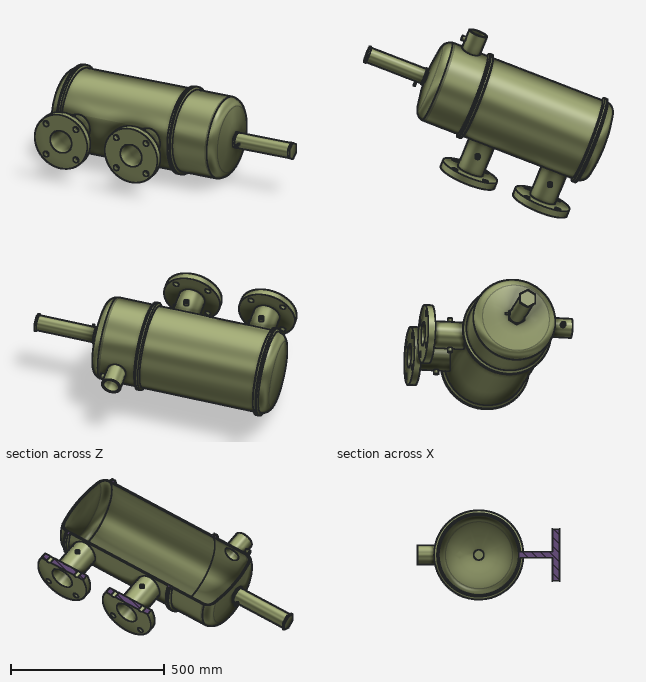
import cadquery as cq
import math


vessel_radius = 273.05 / 2
vessel_length = 623.5
wall = 6.35
crown_radius = 508.0
knuckle_radius = 33.0

flange_radius = 292.1 / 2
rim_half_width = 5.6
base_half_width = 9.525
left_flange_position = 50.0
right_flange_position = 452.6
joint_offset = 1.5
left_joint = left_flange_position - joint_offset
right_joint = right_flange_position + joint_offset

seam_length = 6.6
seam_drop = 0.3

nozzle_positions = (119.6, 373.6)
nozzle_radius = 88.0 / 2
nozzle_bore_radius = 77.93 / 2
nozzle_reach = 263.525
nozzle_flange_radius = 190.5 / 2
nozzle_flange_thickness = 23.8
bolt_circle_radius = 152.4 / 2
bolt_hole_radius = 19.05 / 2
bolt_count = 4

stub_position = 521.0
stub_radius = 63.5 / 2
stub_bore_radius = 52.5 / 2
stub_reach = 200.025

gauge_boss_radius = 15.875 / 2
gauge_bore_radius = 6.35 / 2
gauge_boss_height = 12.7
nozzle_gauge_y = -174.6
stub_gauge_y = 166.6

neck_radius = 33.4 / 2
barrel_radius = 50.8 / 2
hex_flats = 50.8
hex_width = 6.35
fitting_start = 627.0
barrel_start = fitting_start + hex_width
overall_length = 832.46
cap_start = overall_length - hex_width
pin_position = 649.4
pin_radius = 6.35 / 2
pin_reach = 41.3


def dome_points(radius, crown, knuckle):
    """Offsets from the apex as (depth, radius): crown middle, crown edge, knuckle middle, tangent."""
    knuckle_centre_radius = radius - knuckle
    slope = math.asin(knuckle_centre_radius / (crown - knuckle))
    knuckle_centre_depth = crown - (crown - knuckle) * math.cos(slope)
    half_turn = (slope + math.pi / 2) / 2

    def on_crown(angle):
        return (crown * (1 - math.cos(angle)), crown * math.sin(angle))

    def on_knuckle(angle):
        return (
            knuckle_centre_depth - knuckle * math.cos(angle),
            knuckle_centre_radius + knuckle * math.sin(angle),
        )

    return on_crown(slope / 2), on_crown(slope), on_knuckle(half_turn), on_knuckle(math.pi / 2)


def vessel_solid(inset):
    """Solid of revolution with a domed head at both ends, set in by `inset` from the outer skin."""
    dome = dome_points(vessel_radius - inset, crown_radius - inset, knuckle_radius - inset)
    left = [(inset + depth, radius) for depth, radius in dome]
    right = [(vessel_length - x, radius) for x, radius in left]
    profile = (
        cq.Workplane("XY")
        .moveTo(inset, 0)
        .threePointArc(left[0], left[1])
        .threePointArc(left[2], left[3])
        .lineTo(*right[3])
        .threePointArc(right[2], right[1])
        .threePointArc(right[0], (vessel_length - inset, 0))
        .close()
    )
    return profile.revolve(360, (0, 0, 0), (1, 0, 0))


def cylinder_x(radius, start, end):
    return cq.Workplane("YZ", origin=(start, 0, 0)).circle(radius).extrude(end - start)


def cylinder_y(radius, x, start, end):
    return cq.Workplane("XZ", origin=(x, start, 0)).circle(radius).extrude(start - end)


def flange_pair(position):
    """Ring with tapered sides, centred on `position`; a joint plane later splits it in two."""
    return (
        cq.Workplane("XY")
        .moveTo(position - base_half_width, 0)
        .lineTo(position - base_half_width, vessel_radius)
        .lineTo(position - rim_half_width, flange_radius)
        .lineTo(position + rim_half_width, flange_radius)
        .lineTo(position + base_half_width, vessel_radius)
        .lineTo(position + base_half_width, 0)
        .close()
        .revolve(360, (0, 0, 0), (1, 0, 0))
    )


cavity = vessel_solid(wall)
vessel = vessel_solid(0).union(flange_pair(left_flange_position)).union(flange_pair(right_flange_position))


def vessel_section(start, end):
    """Solid length of the flanged vessel between two planes across its axis."""
    return vessel.intersect(cylinder_x(2 * flange_radius, start, end))


head = vessel_section(0, left_joint).cut(cavity)


def nozzle(x):
    """Pipe from the vessel axis to a bolted flange, with gauge bosses above and below."""
    bolt_holes = (
        cq.Workplane("XZ", origin=(x, 0, 0))
        .polarArray(bolt_circle_radius, 180 / bolt_count, 360, bolt_count)
        .circle(bolt_hole_radius)
        .extrude(nozzle_reach)
    )
    flange_back = -nozzle_reach + nozzle_flange_thickness
    flange = cylinder_y(nozzle_flange_radius, x, flange_back, -nozzle_reach).cut(bolt_holes)
    gauge_bosses = (
        cq.Workplane("XY", origin=(x, nozzle_gauge_y, 0))
        .circle(gauge_boss_radius)
        .extrude(nozzle_radius + gauge_boss_height, both=True)
    )
    return cylinder_y(nozzle_radius, x, 0, -nozzle_reach).union(flange).union(gauge_bosses)


def nozzle_bores(x):
    """Main bore from the vessel axis outward and the gauge bore across it."""
    gauge_bore = (
        cq.Workplane("XY", origin=(x, nozzle_gauge_y, 0))
        .circle(gauge_bore_radius)
        .extrude(nozzle_radius + gauge_boss_height, both=True)
    )
    return cylinder_y(nozzle_bore_radius, x, 0, -nozzle_reach).union(gauge_bore)


shell = vessel_section(left_joint, right_joint)
for nozzle_x in nozzle_positions:
    shell = shell.union(nozzle(nozzle_x))
shell = shell.cut(cavity)
for nozzle_x in nozzle_positions:
    shell = shell.cut(nozzle_bores(nozzle_x))


def stub_gauge_cylinder(radius):
    """Cylinder along X from the stub axis to the face of the stub's gauge boss."""
    return (
        cq.Workplane("YZ", origin=(stub_position, stub_gauge_y, 0))
        .circle(radius)
        .extrude(stub_radius + gauge_boss_height)
    )


def weld_seam():
    """Short cone that starts at the knuckle tangent and ends in a small step above the knuckle."""
    seam_start = vessel_length - dome_points(vessel_radius, crown_radius, knuckle_radius)[3][0]
    seam_end = seam_start + seam_length
    return (
        cq.Workplane("XY")
        .moveTo(seam_start, vessel_radius - wall / 2)
        .lineTo(seam_start, vessel_radius)
        .lineTo(seam_end, vessel_radius - seam_drop)
        .lineTo(seam_end, vessel_radius - wall / 2)
        .close()
        .revolve(360, (0, 0, 0), (1, 0, 0))
    )


neck = cylinder_x(neck_radius, vessel_length - 2 * wall, fitting_start)

channel = (
    vessel_section(right_joint, vessel_length)
    .union(cylinder_y(stub_radius, stub_position, 0, stub_reach))
    .union(stub_gauge_cylinder(gauge_boss_radius))
    .union(weld_seam())
    .cut(cavity)
    .cut(cylinder_y(stub_bore_radius, stub_position, 0, stub_reach))
    .cut(stub_gauge_cylinder(gauge_bore_radius))
    .cut(neck)
)


def hexagon(start):
    """Hexagonal plate across the X axis, with two corners at the top and bottom."""
    corner_diameter = hex_flats / math.cos(math.pi / 6)
    return (
        cq.Workplane("YZ", origin=(start, 0, 0))
        .transformed(rotate=(0, 0, 90))
        .polygon(6, corner_diameter)
        .extrude(hex_width)
    )


fitting = hexagon(fitting_start).union(neck)
barrel = cylinder_x(barrel_radius, barrel_start, cap_start).union(
    cylinder_y(pin_radius, pin_position, 0, -pin_reach)
)
cap = hexagon(cap_start)

result = cq.Compound.makeCompound(
    [head.val(), shell.val(), channel.val(), fitting.val(), barrel.val(), cap.val()]
)